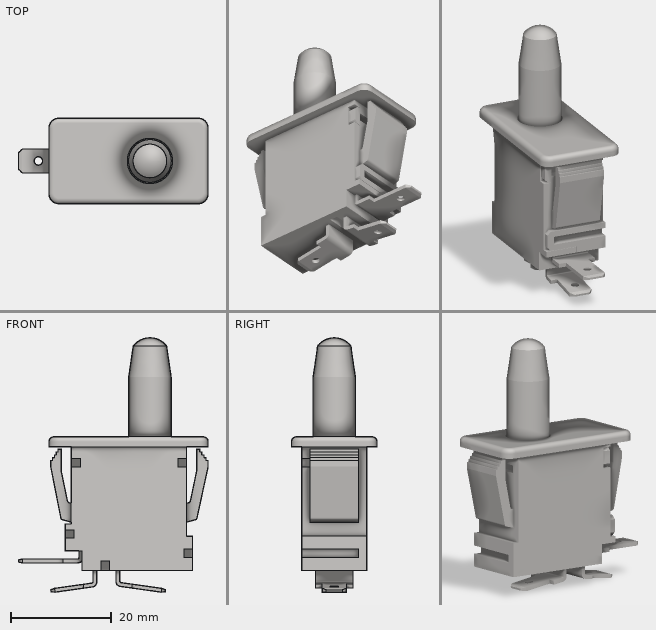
import cadquery as cq
import math


plate_length = 31.6
plate_width = 17.0
plate_thickness = 2.0
plate_corner_radius = 2.0
plate_edge_radius = 1.0

plunger_x = 4.25
plunger_diameter = 8.5
plunger_hole_diameter = 9.0
plunger_tip_diameter = 6.65
plunger_top = 21.65
dome_height = 1.65
cone_height = 6.2
dome_base = plunger_top - dome_height
cone_base = dome_base - cone_height

housing_width = 13.0
housing_left = -11.35
housing_right = 11.5
housing_bottom = -24.55
foot_left = -9.25
step_projection = 1.2
left_step_x = housing_left - step_projection
right_step_x = housing_right + step_projection
left_step_top = -15.25
left_step_bottom = -20.6
right_step_top = -17.7
front_y = -housing_width / 2
back_y = housing_width / 2

slot_depth = 1.7
slot_height = 1.65
slot_end_y = 4.8
upper_slot_depth_left = 1.85
upper_slot_z = -3.2
left_slot_z = -17.25
right_slot_z = -21.1
bottom_slot_x = -4.6
bottom_slot_height = 1.85

joint_gap = 0.1
joint_setback = 0.25
joint_corner = 0.7
latch_top = -1.05
latch_bottom = -5.3
tongue_top = -19.3
tongue_end_y = 0.0

arm_width = 9.65
arm_top = -0.45
arm_crown = 0.65
arm_inner_gap = 1.95
left_arm_outer_gap = 4.1
right_arm_outer_gap = 4.3
arm_inner_bend_z = -4.8
arm_outer_bend_z = -3.95
arm_root_gap = 0.65
arm_root_top = -11.1
arm_heel_gap = 2.0
arm_heel_z = -14.4
arm_root_bottom = -14.95
arm_root_radius = 0.5
tooth_count = 4
tooth_height = 0.55

terminal_thickness = 0.8
overall_height = 50.5
terminal_lowest = plunger_top - overall_height
blade_width = 4.8
blade_bevel = 0.8
blade_edge_bevel = 0.2
blade_hole_diameter = 1.6
bend_inner_radius = 0.25
bend_outer_radius = bend_inner_radius + terminal_thickness
common_width = 7.85
common_shoulder = 4.0
common_hole_from_tip = 4.0
common_slope = 0.0
common_outer_x = -9.05
common_corner_z = -23.05
common_length = 12.85
contact_slope = 8.0
contact_width = 7.55
contact_hole_from_tip = 3.4
closed_outer_x = -6.25
closed_length = 9.2
closed_shoulder = 2.65
open_outer_x = -2.55
open_length = 9.9
open_shoulder = 3.2

embed = 0.5


def block(x_min, x_max, y_min, y_max, z_min, z_max):
    """Axis-aligned box between the given limits."""
    return cq.Workplane("XY").box(
        x_max - x_min, y_max - y_min, z_max - z_min, centered=False
    ).translate((x_min, y_min, z_min))


def make_plate():
    plate = (
        cq.Workplane("XY")
        .rect(plate_length, plate_width)
        .extrude(plate_thickness)
        .edges("|Z")
        .fillet(plate_corner_radius)
        .faces(">Z")
        .edges()
        .fillet(plate_edge_radius)
    )
    hole = (
        cq.Workplane("XY")
        .center(plunger_x, 0)
        .circle(plunger_hole_diameter / 2)
        .extrude(plate_thickness)
    )
    return plate.cut(hole)


def make_plunger():
    """Revolved pin with a conical shoulder and a spherical cap."""
    tip_radius = plunger_tip_diameter / 2
    dome_radius = (tip_radius**2 + dome_height**2) / (2 * dome_height)
    half_angle = math.asin(tip_radius / dome_radius) / 2
    dome_centre = plunger_top - dome_radius
    dome_middle = (
        dome_radius * math.sin(half_angle),
        dome_centre + dome_radius * math.cos(half_angle),
    )
    return (
        cq.Workplane("XZ")
        .moveTo(0, -embed)
        .lineTo(plunger_diameter / 2, -embed)
        .lineTo(plunger_diameter / 2, cone_base)
        .lineTo(tip_radius, dome_base)
        .threePointArc(dome_middle, (0, plunger_top))
        .close()
        .revolve(360, (0, 0), (0, 1))
        .translate((plunger_x, 0, 0))
    )


def joint_profile(y_inner, z_min, z_max):
    """Y-Z outline of a shell edge whose two back corners are bevelled."""
    y_outer = back_y - joint_setback
    return cq.Workplane("YZ").polyline([
        (y_inner, z_min),
        (y_outer - joint_corner, z_min),
        (y_outer, z_min + joint_corner),
        (y_outer, z_max - joint_corner),
        (y_outer - joint_corner, z_max),
        (y_inner, z_max),
    ]).close()


def make_housing():
    outline = [
        (housing_left, 0),
        (housing_right, 0),
        (housing_right, right_step_top),
        (right_step_x, right_step_top),
        (right_step_x, housing_bottom),
        (foot_left, housing_bottom),
        (foot_left, left_step_bottom),
        (housing_left, left_step_bottom),
    ]
    housing = (
        cq.Workplane("XZ")
        .polyline(outline)
        .close()
        .extrude(housing_width / 2, both=True)
    )

    step = (
        joint_profile(front_y, tongue_top, left_step_top)
        .extrude(step_projection)
        .translate((left_step_x, 0, 0))
    )
    below_tongue = block(left_step_x, housing_left, front_y, tongue_end_y - joint_gap,
                         left_step_bottom, tongue_top)
    tongue = block(left_step_x, housing_left, tongue_end_y, back_y,
                   left_step_bottom, tongue_top - joint_gap)
    return housing.union(step).union(below_tongue).union(tongue)


def cut_slots(housing):
    half = slot_height / 2
    side_slots = [
        (housing_left, housing_left + upper_slot_depth_left, upper_slot_z),
        (housing_right - slot_depth, housing_right, upper_slot_z),
        (left_step_x, left_step_x + slot_depth, left_slot_z),
        (right_step_x - slot_depth, right_step_x, right_slot_z),
    ]
    for x_min, x_max, z in side_slots:
        housing = housing.cut(block(x_min, x_max, front_y, slot_end_y, z - half, z + half))
    bottom_slot = block(bottom_slot_x - half, bottom_slot_x + half, front_y, slot_end_y,
                        housing_bottom, housing_bottom + bottom_slot_height)
    return housing.cut(bottom_slot)


def fit_latch(housing):
    """Back-corner window with a bevelled latch filling all but a narrow gap."""
    window = block(housing_left, housing_left + slot_depth, slot_end_y, back_y,
                   latch_bottom, latch_top)
    latch = (
        joint_profile(slot_end_y, latch_bottom + joint_gap, latch_top - joint_gap)
        .extrude(slot_depth)
        .translate((housing_left, 0, 0))
    )
    return housing.cut(window).union(latch)


def make_snap_arm(outer_gap):
    """Snap arm pointing toward +X, drawn outward from the housing wall at X = 0."""
    tooth_depth = (outer_gap - arm_inner_gap - arm_crown) / tooth_count
    points = [(arm_inner_gap, arm_top)]
    for tooth in range(tooth_count):
        x = arm_inner_gap + arm_crown + tooth * tooth_depth
        z = arm_top - tooth * tooth_height
        points.append((x, z))
        points.append((x, z - tooth_height))
    points += [
        (outer_gap, arm_top - tooth_count * tooth_height),
        (outer_gap, arm_outer_bend_z),
        (arm_heel_gap, arm_heel_z),
        (0, arm_root_bottom),
        (-embed, arm_root_bottom),
        (-embed, arm_root_top),
        (arm_root_gap, arm_root_top),
        (arm_inner_gap, arm_inner_bend_z),
    ]
    arm = (
        cq.Workplane("XZ")
        .polyline(points)
        .close()
        .extrude(arm_width / 2, both=True)
    )
    for x, z in [(arm_root_gap, arm_root_top), (arm_heel_gap, arm_heel_z)]:
        corner = cq.selectors.NearestToPointSelector((x, 0, z))
        arm = arm.edges("|Y").edges(corner).fillet(arm_root_radius)
    return arm


def make_terminal(length, shoulder, width, hole_from_tip, slope, leg_height):
    """Bent strip with its outer corner at the origin and its blade toward +X."""
    angle = math.radians(slope)
    along = cq.Vector(math.cos(angle), 0, -math.sin(angle))
    across = cq.Vector(math.sin(angle), 0, math.cos(angle))

    def on_blade(distance, height):
        point = along * distance + across * height
        return (point.x, point.z)

    inner_corner_z = terminal_thickness * (1 / math.cos(angle) - math.tan(angle))
    side_profile = [
        (0, 0),
        on_blade(length - blade_bevel, 0),
        on_blade(length, blade_edge_bevel),
        on_blade(length, terminal_thickness - blade_edge_bevel),
        on_blade(length - blade_bevel, terminal_thickness),
        (terminal_thickness, inner_corner_z),
        (terminal_thickness, leg_height),
        (0, leg_height),
    ]
    strip = (
        cq.Workplane("XZ")
        .polyline(side_profile)
        .close()
        .extrude(width / 2, both=True)
    )
    bends = [
        (0, 0, bend_outer_radius),
        (terminal_thickness, inner_corner_z, bend_inner_radius),
    ]
    for x, z, radius in bends:
        corner = cq.selectors.NearestToPointSelector((x, 0, z))
        strip = strip.edges("|Y").edges(corner).fillet(radius)

    half_blade = blade_width / 2
    flat_outline = [
        (-length, width / 2),
        (shoulder, width / 2),
        (shoulder, half_blade),
        (length - blade_bevel, half_blade),
        (length, half_blade - blade_bevel),
    ]
    flat_outline += [(x, -y) for x, y in reversed(flat_outline)]
    blade_plane = cq.Plane(origin=(0, 0, 0), xDir=along, normal=across)
    flat = (
        cq.Workplane(blade_plane)
        .polyline(flat_outline)
        .close()
        .extrude(2 * leg_height, both=True)
    )
    hole = (
        cq.Workplane(blade_plane)
        .center(length - hole_from_tip, 0)
        .circle(blade_hole_diameter / 2)
        .extrude(terminal_thickness)
    )
    return strip.intersect(flat).cut(hole)


def make_common_terminal():
    leg_height = left_step_bottom + embed - common_corner_z
    terminal = make_terminal(common_length, common_shoulder, common_width,
                             common_hole_from_tip, common_slope, leg_height)
    return terminal.mirror("YZ").translate((common_outer_x, 0, common_corner_z))


def make_contact_terminal(outer_x, length, shoulder, points_left):
    drop = (length - blade_bevel) * math.sin(math.radians(contact_slope))
    corner_z = terminal_lowest + drop
    leg_height = housing_bottom + embed - corner_z
    terminal = make_terminal(length, shoulder, contact_width,
                             contact_hole_from_tip, contact_slope, leg_height)
    if points_left:
        terminal = terminal.mirror("YZ")
    return terminal.translate((outer_x, 0, corner_z))


housing = fit_latch(cut_slots(make_housing()))
right_arm = make_snap_arm(right_arm_outer_gap).translate((housing_right, 0, 0))
left_arm = make_snap_arm(left_arm_outer_gap).mirror("YZ").translate((housing_left, 0, 0))

result = (
    housing.union(make_plate())
    .union(make_plunger())
    .union(right_arm)
    .union(left_arm)
    .union(make_common_terminal())
    .union(make_contact_terminal(closed_outer_x, closed_length, closed_shoulder, True))
    .union(make_contact_terminal(open_outer_x, open_length, open_shoulder, False))
)